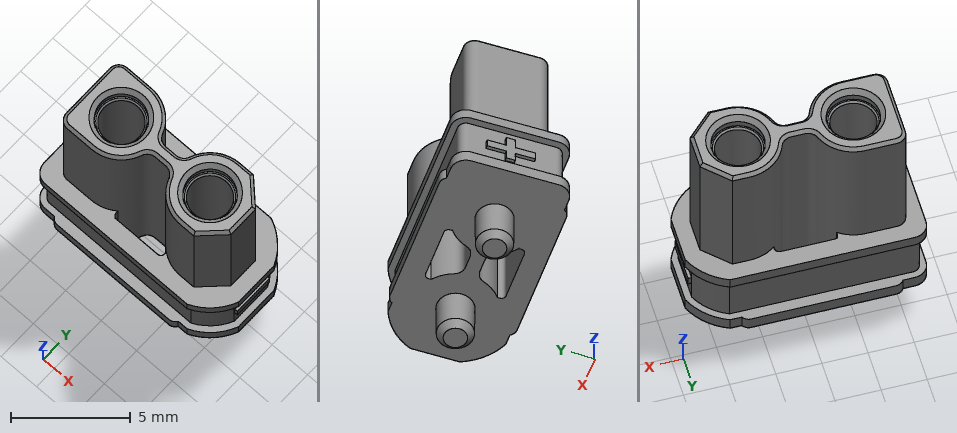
import cadquery as cq
import math

contact_spacing = 5.0
contact_x = contact_spacing / 2

foot_height = 0.6
waist_height = 2.3
flange_height = 0.52
tower_height = 6.0
pin_length = 1.98
flange_z = foot_height + waist_height
tower_z = flange_z + flange_height
top_z = tower_z + tower_height

base_length = 10.2
base_width = 5.21
base_corner_radius = 0.67
base_nose_radius = 2.82
waist_inset = 0.3

rib_height = 0.2
rib_start_x = -3.96
rib_end_x = 3.13
rib_corner_radius = 0.4

tower_radius = 1.85
tower_half_length = 4.37
tower_corner_radius = 0.5
tower_top_chamfer = 0.15
octagon_half_side = tower_radius * math.tan(math.pi / 8)
web_half_thickness = 0.32
web_fillet_radius = 0.5

window_length = 2.73
window_width = 3.55
window_corner_radius = 0.2

entry_diameter = 2.7
socket_diameter = 2.27
socket_depth = 0.5
contact_rim_diameter = 2.14
contact_bore_diameter = 1.97
contact_bore_depth = 6.0
drill_point_angle = 118

pin_root_diameter = 1.64
pin_diameter = 1.6
pin_tip_diameter = 1.02
pin_tip_height = 0.3

mark_height = 0.15
mark_stroke = 0.4
mark_z = 1.725
minus_length = 2.0
plus_length = 2.14
plus_height = 1.38
plus_offset_y = 0.1
upright_offset_y = 0.125
upright_z = foot_height + waist_height / 2


def base_layer(inset, bottom_z, height):
    """Plate with two rounded corners at -X and a truncated round nose at +X."""
    end_x = base_length / 2 - inset
    side_y = base_width / 2 - inset
    corner = base_corner_radius - inset
    nose_radius = base_nose_radius - inset
    nose_start_x = contact_x + math.sqrt(nose_radius**2 - side_y**2)
    nose_end_y = math.sqrt(nose_radius**2 - (end_x - contact_x) ** 2)
    start_angle = math.atan2(side_y, nose_start_x - contact_x)
    end_angle = math.atan2(nose_end_y, end_x - contact_x)
    mid_angle = (start_angle + end_angle) / 2
    mid_x = contact_x + nose_radius * math.cos(mid_angle)
    mid_y = nose_radius * math.sin(mid_angle)
    return (
        cq.Workplane("XY", origin=(0, 0, bottom_z))
        .moveTo(-end_x, -side_y)
        .lineTo(nose_start_x, -side_y)
        .threePointArc((mid_x, -mid_y), (end_x, -nose_end_y))
        .lineTo(end_x, nose_end_y)
        .threePointArc((mid_x, mid_y), (nose_start_x, side_y))
        .lineTo(-end_x, side_y)
        .close()
        .extrude(height)
        .edges("|Z and <X")
        .fillet(corner)
    )


def foot_ribs():
    """Rounded bar crossing the foot, standing proud of both long edges."""
    return (
        cq.Workplane("XY")
        .center((rib_start_x + rib_end_x) / 2, 0)
        .rect(rib_end_x - rib_start_x, base_width + 2 * rib_height)
        .extrude(foot_height)
        .edges("|Z")
        .fillet(rib_corner_radius)
    )


def window():
    return (
        cq.Workplane("XY")
        .rect(window_length, window_width)
        .extrude(tower_z)
        .edges("|Z")
        .fillet(window_corner_radius)
    )


def tower():
    """Two shells joined by a thin web, running from the underside of the base to the top."""
    fillet_y = web_half_thickness + web_fillet_radius
    fillet_x = contact_x - math.sqrt((tower_radius + web_fillet_radius) ** 2 - fillet_y**2)
    contact_angle = math.atan2(fillet_y, contact_x - fillet_x)
    touch_x = contact_x - tower_radius * math.cos(contact_angle)
    touch_y = tower_radius * math.sin(contact_angle)
    shell_mid_angle = (contact_angle + math.pi / 2) / 2
    shell_mid_x = contact_x - tower_radius * math.cos(shell_mid_angle)
    shell_mid_y = tower_radius * math.sin(shell_mid_angle)
    fillet_mid_angle = (math.pi / 2 - contact_angle) / 2
    fillet_mid_x = fillet_x + web_fillet_radius * math.sin(fillet_mid_angle)
    fillet_mid_y = fillet_y - web_fillet_radius * math.cos(fillet_mid_angle)
    corner_x = tower_half_length - tower_corner_radius
    half_outline = (
        cq.Workplane("XY")
        .moveTo(-tower_half_length, 0)
        .lineTo(-tower_half_length, tower_radius - tower_corner_radius)
        .radiusArc((-corner_x, tower_radius), tower_corner_radius)
        .lineTo(-contact_x, tower_radius)
        .threePointArc((-shell_mid_x, shell_mid_y), (-touch_x, touch_y))
        .threePointArc((-fillet_mid_x, fillet_mid_y), (-fillet_x, web_half_thickness))
        .lineTo(fillet_x, web_half_thickness)
        .threePointArc((fillet_mid_x, fillet_mid_y), (touch_x, touch_y))
        .threePointArc((shell_mid_x, shell_mid_y), (contact_x, tower_radius))
        .lineTo(contact_x + octagon_half_side, tower_radius)
        .lineTo(tower_half_length, octagon_half_side)
        .lineTo(tower_half_length, 0)
    )
    return half_outline.mirrorX().extrude(top_z).faces(">Z").chamfer(tower_top_chamfer)


def socket(x):
    """Countersunk mouth, then a chamfered contact bore with a drill-point bottom."""
    socket_radius = socket_diameter / 2
    bore_radius = contact_bore_diameter / 2
    rim_radius = contact_rim_diameter / 2
    entry_radius = entry_diameter / 2
    entry_z = top_z - (entry_radius - socket_radius)
    rim_z = top_z - socket_depth
    bore_end_z = top_z - contact_bore_depth
    point_z = bore_end_z - bore_radius / math.tan(math.radians(drill_point_angle / 2))
    profile = [
        (0, top_z),
        (entry_radius, top_z),
        (socket_radius, entry_z),
        (socket_radius, rim_z),
        (rim_radius, rim_z),
        (bore_radius, rim_z - (rim_radius - bore_radius)),
        (bore_radius, bore_end_z),
        (0, point_z),
    ]
    return cq.Workplane("XZ").polyline(profile).close().revolve().translate((x, 0, 0))


def pin(x):
    """Slightly tapered pin with a conical tip, rooted in the foot."""
    radius = pin_diameter / 2
    profile = [
        (0, foot_height),
        (pin_root_diameter / 2, foot_height),
        (pin_root_diameter / 2, 0),
        (radius, pin_tip_height - pin_length),
        (pin_tip_diameter / 2, -pin_length),
        (0, -pin_length),
    ]
    return cq.Workplane("XZ").polyline(profile).close().revolve().translate((x, 0, 0))


def polarity_marks():
    """Plus sign on the -X end, minus sign on the +X end."""
    mark_x = base_length / 2 - waist_inset
    bar = cq.Workplane("XY").box(2 * mark_height, plus_length, mark_stroke)
    upright = cq.Workplane("XY").box(2 * mark_height, mark_stroke, plus_height)
    minus = cq.Workplane("XY").box(2 * mark_height, minus_length, mark_stroke)
    plus = bar.translate((-mark_x, plus_offset_y, mark_z))
    plus = plus.union(upright.translate((-mark_x, upright_offset_y, upright_z)))
    minus = minus.translate((mark_x, 0, mark_z))
    return plus.union(minus)


result = base_layer(0, 0, foot_height).union(foot_ribs())
result = result.union(base_layer(waist_inset, foot_height, waist_height))
result = result.union(base_layer(0, flange_z, flange_height))
result = result.cut(window()).union(tower())
for x in (-contact_x, contact_x):
    result = result.cut(socket(x)).union(pin(x))
result = result.union(polarity_marks())